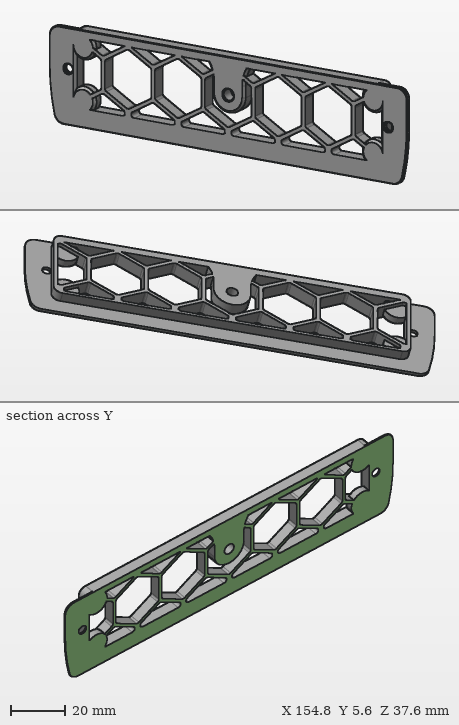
import cadquery as cq
import math

flange_width = 154.8
flange_height = 37.6
flange_thickness = 1.6
flange_corner_radius = 4.2
side_curve_radius = 84.0
side_curve_top_z = 3.0
flange_chamfer = 0.3

total_depth = 5.6
body_width = 135.0
body_height = 31.5
body_corner_radius = 3.3

window_front_width = 133.8
window_top_z = 15.6
window_bottom_z = -11.4
bevel = 1.0

cell_pitch = 21.65
rib_thickness = 1.6
cell_fillet = 1.2
lower_cell_fillet = 1.15
cells_each_side = 3

lobe_front_radius = 4.2
lobe_inset_z = 3.1
lobe_depth = 4.0

boss_front_radius = 6.0
boss_z = 4.0
boss_flare_start_z = 8.5
boss_flare_radius = 13.0
boss_hole_diameter = 4.3

end_hole_x = 69.22
end_hole_z = 2.9
end_hole_diameter = 3.4

hole_chamfer = 0.45

top_z = flange_height / 2
bottom_z = -flange_height / 2
body_middle_z = top_z - body_height / 2
window_back_width = window_front_width - 2 * bevel
window_height = window_top_z - window_bottom_z
window_middle_z = (window_top_z + window_bottom_z) / 2
row_pitch = cell_pitch * math.sqrt(3) / 2
opening_radius = (cell_pitch - rib_thickness) / math.sqrt(3)


def front_plane(y=0.0):
    """XZ workplane at depth y, extruded with a negative length to go toward +Y."""
    return cq.Workplane("XZ", origin=(0, y, 0))


def bevel_front(solid):
    """Bevel the whole front rim of a solid."""
    return solid.faces("<Y").edges().chamfer(bevel)


def side_half_width(z):
    """Half width of the flange at height z on its curved lower sides."""
    drop = side_curve_top_z - z
    inward = side_curve_radius - math.sqrt(side_curve_radius**2 - drop**2)
    return flange_width / 2 - inward


def make_flange():
    half_width = flange_width / 2
    mid_z = (side_curve_top_z + bottom_z) / 2
    mid_x = side_half_width(mid_z)
    bottom_x = side_half_width(bottom_z)
    flange = (
        front_plane()
        .moveTo(-half_width, top_z)
        .lineTo(half_width, top_z)
        .lineTo(half_width, side_curve_top_z)
        .threePointArc((mid_x, mid_z), (bottom_x, bottom_z))
        .lineTo(-bottom_x, bottom_z)
        .threePointArc((-mid_x, mid_z), (-half_width, side_curve_top_z))
        .close()
        .extrude(-flange_thickness)
    )
    for end in (">Z", "<Z"):
        flange = flange.faces(end).edges("|Y").fillet(flange_corner_radius)
    return flange.faces("<Y").edges().chamfer(flange_chamfer)


def make_body():
    body = (
        front_plane(flange_thickness / 2)
        .center(0, body_middle_z)
        .rect(body_width, body_height)
        .extrude(flange_thickness / 2 - total_depth)
    )
    return body.edges("|Y").fillet(body_corner_radius)


def make_window():
    """Cutter for the window, wider at the front by the bevel at each end."""
    front_x = window_front_width / 2
    back_x = window_back_width / 2
    return (
        cq.Workplane("XY", origin=(0, 0, window_bottom_z))
        .moveTo(-front_x, 0)
        .lineTo(front_x, 0)
        .lineTo(back_x, bevel)
        .lineTo(back_x, total_depth)
        .lineTo(-back_x, total_depth)
        .lineTo(-back_x, bevel)
        .close()
        .extrude(window_height)
    )


def make_cell(x, z):
    """Hexagonal opening with points up and down."""
    corners = [
        (
            x + opening_radius * math.sin(math.radians(60 * corner)),
            z + opening_radius * math.cos(math.radians(60 * corner)),
        )
        for corner in range(6)
    ]
    cell = front_plane().polyline(corners).close().extrude(-total_depth)
    return cell.edges("|Y").fillet(cell_fillet)


def make_lower_cell(x, z):
    """Top of a hexagonal opening, its sloping sides run on down to the window's bottom edge."""
    apex_z = z + opening_radius
    half_base = (apex_z - window_bottom_z) * math.sqrt(3)
    cell = (
        front_plane()
        .moveTo(x, apex_z)
        .lineTo(x + half_base, window_bottom_z)
        .lineTo(x - half_base, window_bottom_z)
        .close()
        .extrude(-total_depth)
    )
    return cell.edges("|Y").fillet(lower_cell_fillet)


def make_cells():
    """All honeycomb openings; the ribs are what stands between them."""
    cells = cq.Workplane()
    for column in range(-cells_each_side, cells_each_side + 1):
        cells = cells.add(make_cell(column * cell_pitch, body_middle_z))
    for column in range(-cells_each_side, cells_each_side):
        x = (column + 0.5) * cell_pitch
        cells = cells.add(make_cell(x, body_middle_z + row_pitch))
        cells = cells.add(make_lower_cell(x, body_middle_z - row_pitch))
    return cells.combine()


def make_lobe(side, end):
    """Lobe in one window corner: side is -1 or 1 along X, end is -1 or 1 along Z."""
    x = side * (window_front_width / 2 - lobe_front_radius)
    edge_z = window_middle_z + end * window_height / 2
    z = edge_z - end * lobe_inset_z
    lobe = front_plane().center(x, z).circle(lobe_front_radius + bevel).extrude(-lobe_depth)
    corner_fill = (
        front_plane()
        .center(x + side * lobe_front_radius / 2, (z + edge_z) / 2)
        .rect(lobe_front_radius, lobe_inset_z)
        .extrude(-lobe_depth)
    )
    return bevel_front(lobe).union(corner_fill)


def make_boss():
    """Boss with a round lower end and sides that flare out toward the window's top edge."""
    radius = boss_front_radius + bevel
    flare_end_z = window_top_z + bevel

    def flare_x(z):
        rise = z - boss_flare_start_z
        return radius + boss_flare_radius - math.sqrt(boss_flare_radius**2 - rise**2)

    mid_z = (boss_flare_start_z + flare_end_z) / 2
    boss = (
        front_plane()
        .moveTo(-radius, boss_z)
        .threePointArc((0, boss_z - radius), (radius, boss_z))
        .lineTo(radius, boss_flare_start_z)
        .threePointArc((flare_x(mid_z), mid_z), (flare_x(flare_end_z), flare_end_z))
        .lineTo(flare_x(flare_end_z), top_z)
        .lineTo(-flare_x(flare_end_z), top_z)
        .lineTo(-flare_x(flare_end_z), flare_end_z)
        .threePointArc((-flare_x(mid_z), mid_z), (-radius, boss_flare_start_z))
        .close()
        .extrude(-total_depth)
    )
    return bevel_front(boss)


def make_hole(x, z, diameter):
    """Through-hole cutter with a chamfered front mouth."""
    radius = diameter / 2
    hole = front_plane().center(x, z).circle(radius).extrude(-total_depth)
    mouth = cq.Solid.makeCone(
        radius + hole_chamfer, radius, hole_chamfer, cq.Vector(x, 0, z), cq.Vector(0, 1, 0)
    )
    return hole.union(cq.Workplane(mouth))


opening = make_window().intersect(make_cells()).cut(make_boss())
for side in (-1, 1):
    for end in (-1, 1):
        opening = opening.cut(make_lobe(side, end))

result = make_flange().union(make_body()).cut(opening)
result = result.cut(make_hole(0, boss_z, boss_hole_diameter))
for side in (-1, 1):
    result = result.cut(make_hole(side * end_hole_x, end_hole_z, end_hole_diameter))